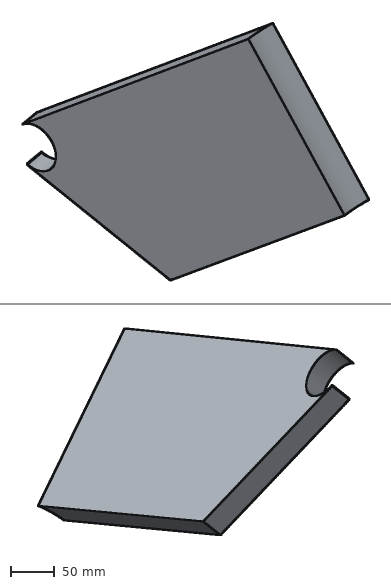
import cadquery as cq
import math

plate_angle = 5.0
plate_depth = 30.0
cove_radius = 36.0
notch_radius = 30.0
notch_x, notch_z = 19.0, 99.0

left_tip = (0.0, 122.5)
top_corner = (344.0, 389.5)
right_corner = (484.5, 207.0)
bottom_corner = (216.0, 0.0)
lower_tip = (7.0, 70.5)

slope = math.tan(math.radians(plate_angle))
length = right_corner[0]
height = top_corner[1]


def make_plate():
    """Outline swept along Y, kept between the two parallel turned faces."""
    total_depth = plate_depth + length * slope
    outline = (
        cq.Workplane("XZ")
        .polyline([left_tip, top_corner, right_corner, bottom_corner, lower_tip])
        .close()
        .extrude(total_depth)
    )
    slab = (
        cq.Workplane("XY")
        .polyline([
            (0, 0),
            (length, -length * slope),
            (length, -length * slope - plate_depth),
            (0, -plate_depth),
        ])
        .close()
        .extrude(height)
    )
    return outline.intersect(slab)


def make_notch():
    """Cylinder along Y that hollows the left end."""
    total_depth = plate_depth + length * slope
    return cq.Workplane("XZ").center(notch_x, notch_z).circle(notch_radius).extrude(total_depth)


def make_cove():
    """Cylinder centred on the front face plane and passing through the back edge."""
    angle = math.radians(plate_angle)
    back_normal = cq.Vector(math.sin(angle), math.cos(angle), 0)
    edge_start = cq.Vector(top_corner[0], -top_corner[0] * slope, top_corner[1])
    edge_end = cq.Vector(right_corner[0], -right_corner[0] * slope, right_corner[1])
    edge = edge_end - edge_start
    direction = edge.normalized()
    outward = direction.cross(back_normal)
    thickness = plate_depth * math.cos(angle)
    reach = math.sqrt(cove_radius**2 - thickness**2)
    overrun = 2 * cove_radius
    start = edge_start - back_normal * thickness + outward * reach - direction * overrun
    return cq.Solid.makeCylinder(cove_radius, edge.Length + 2 * overrun, start, direction)


result = make_plate().cut(make_notch()).cut(cq.Workplane(make_cove()))